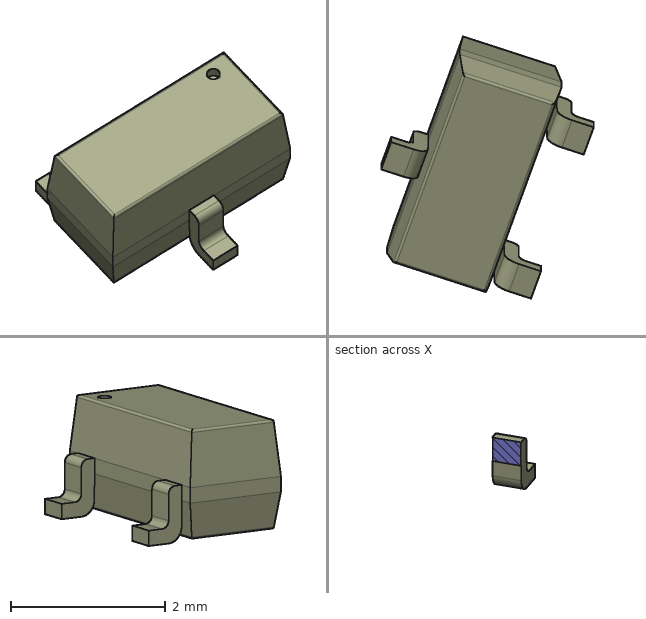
import cadquery as cq

body_width = 1.4
body_length = 2.9
body_bottom = 0.05
band_bottom = 0.55
body_top = 1.5
taper_inset = 0.07
edge_radius = 0.035

mark_diameter = 0.17
mark_depth = 0.15
mark_x = -0.42

lead_thickness = 0.205
lead_width = 0.4
lead_pitch = 2.1
lead_reach = 1.21
leg_lean = 0.008
small_bend_radius = 0.1
heel_radius = 0.2

band_top = band_bottom + lead_thickness
body_side = body_width / 2
leg_inner = body_side + leg_lean
leg_outer = body_side + lead_thickness
lead_y = lead_pitch / 2


def tapered_block(start_z, height):
    """Block that narrows away from the band; a negative height goes down."""
    return (
        cq.Workplane("XY", origin=(0, 0, start_z))
        .rect(body_width, body_length)
        .workplane(offset=height)
        .rect(body_width - 2 * taper_inset, body_length - 2 * taper_inset)
        .loft(ruled=True)
    )


def make_body():
    """Moulded body with rounded rims and a blind round mark beside pin one."""
    band = (
        cq.Workplane("XY", origin=(0, 0, band_bottom))
        .rect(body_width, body_length)
        .extrude(band_top - band_bottom)
    )
    upper = tapered_block(band_top, body_top - band_top)
    lower = tapered_block(band_bottom, body_bottom - band_bottom)
    body = band.union(upper).union(lower)
    body = body.faces(">Z or <Z").edges().fillet(edge_radius)
    mark = (
        cq.Workplane("XY", origin=(mark_x, lead_y, body_top - mark_depth))
        .circle(mark_diameter / 2)
        .extrude(mark_depth)
    )
    return body.cut(mark)


def make_lead(side, center_y):
    """Lead bent down from the band to a foot; side is -1 for -X and 1 for +X."""
    foot_corner = (side * leg_outer, lead_thickness)
    shoulder_corner = (side * leg_outer, band_top)
    heel_corner = (side * leg_inner, 0)
    outline = [
        (side * body_side, band_top),
        shoulder_corner,
        foot_corner,
        (side * lead_reach, lead_thickness),
        (side * lead_reach, 0),
        heel_corner,
        (side * body_side, band_bottom),
    ]
    lead = (
        cq.Workplane("XZ", origin=(0, center_y + lead_width / 2, 0))
        .polyline(outline)
        .close()
        .extrude(lead_width)
    )
    for corner, radius in (
        (shoulder_corner, small_bend_radius),
        (foot_corner, small_bend_radius),
        (heel_corner, heel_radius),
    ):
        corner_point = (corner[0], center_y, corner[1])
        lead = lead.edges(cq.NearestToPointSelector(corner_point)).fillet(radius)
    return lead


body = make_body()
lead_places = [(-1, -lead_y), (-1, lead_y), (1, 0)]
leads = [make_lead(side, center_y) for side, center_y in lead_places]

result = cq.Compound.makeCompound([body.val(), *[lead.val() for lead in leads]])